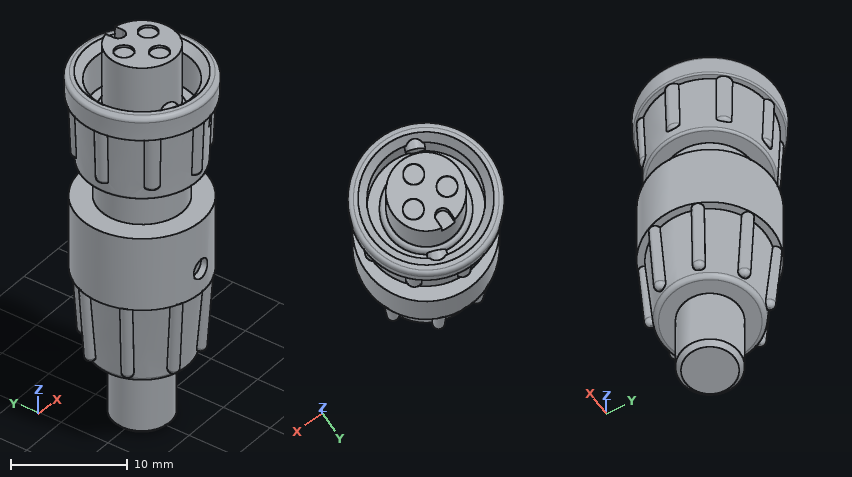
import cadquery as cq
import math


CABLE_CHAMFER = 0.48
GRIP_BOTTOM = 7.18
COLLAR_BOTTOM = 15.95
COLLAR_TOP = 23.65
NUT_BOTTOM = 27.48
RIM_BOTTOM = 34.4
RIM_TOP = 36.95
TOTAL_HEIGHT = 39.88

CABLE_RADIUS = 3.0
GRIP_BOTTOM_RADIUS = 4.9
GRIP_TOP_RADIUS = 5.62
COLLAR_RADIUS = 6.35
NECK_RADIUS = 4.25
NUT_BOTTOM_RADIUS = 5.82
NUT_TOP_RADIUS = 6.05
RIM_BOTTOM_RADIUS = 6.7
RIM_TOP_RADIUS = 6.78
INSERT_RADIUS = 3.45

GRIP_FILLET = 0.48
NUT_FILLET = 0.25
RIM_BOTTOM_FILLET = 0.15
RIM_TOP_FILLET = 0.48

BORE_RADIUS = 5.1
BORE_FLOOR = 32.5
BORE_MOUTH_RADIUS = 5.85
BORE_CHAMFER_DEPTH = 0.8
SHOULDER_RADIUS = 4.03
SHOULDER_HEIGHT = 0.6
SHOULDER_FILLET = 0.5

LUG_RADIUS = 0.88
LUG_TIP_DISTANCE = 4.55
LUG_ROOT_DISTANCE = 5.6
LUG_LEVEL = 35.65
LUG_ANGLE = 67.0

CONTACT_RADIUS = 0.9
CONTACT_PITCH_RADIUS = 1.87
CONTACT_ANGLES = (-90.0, 20.0, 160.0)
CONTACT_DEPTH = 0.25
KEYWAY_WIDTH = 1.35
KEYWAY_END_DISTANCE = 1.87
KEYWAY_DEPTH = 1.2

SIDE_HOLE_RADIUS = 1.0
SIDE_HOLE_LEVEL = 18.5
SIDE_HOLE_DEPTH = 0.75

RIB_COUNT = 8
RIB_SPACING = 360.0 / RIB_COUNT
NUT_RIB_RADIUS = 0.8
NUT_RIB_BOTTOM = 28.6
NUT_RIB_BOTTOM_CREST = 6.22
NUT_RIB_TOP_CREST = 6.45
NUT_RIB_FILLET = 0.35
GRIP_RIB_RADIUS = 0.55
GRIP_RIB_BOTTOM = 7.9
GRIP_RIB_BOTTOM_CREST = 5.75
GRIP_RIB_TOP_CREST = 6.3
GRIP_RIB_FILLET = 0.5


def turned_section(bottom, bottom_radius, top, top_radius):
    """Solid of revolution about Z with a straight, possibly tapered side."""
    return (
        cq.Workplane("XZ")
        .moveTo(0, bottom)
        .lineTo(bottom_radius, bottom)
        .lineTo(top_radius, top)
        .lineTo(0, top)
        .close()
        .revolve(360, (0, 0, 0), (0, 1, 0))
    )


def ribs(radius, bottom, bottom_crest, top, top_crest, end_fillet, first_angle):
    """Ring of leaning round bars with a rounded lower end and a flat top."""
    axis = cq.Vector(top_crest - bottom_crest, 0, top - bottom)
    start = cq.Vector(bottom_crest - radius, 0, bottom)
    bar_plane = cq.Plane(origin=start.toTuple(), xDir=(0, 1, 0), normal=axis.toTuple())
    bar = cq.Workplane(bar_plane).circle(radius).extrude(axis.Length + radius)
    bar = bar.faces("<Z").edges().fillet(end_fillet)
    bar = bar.intersect(turned_section(bottom - radius, RIM_TOP_RADIUS, top, RIM_TOP_RADIUS))
    ring = cq.Workplane("XY")
    for index in range(RIB_COUNT):
        ring = ring.add(bar.rotate((0, 0, 0), (0, 0, 1), first_angle + index * RIB_SPACING))
    return ring


def add_ribs(body, ring):
    for bar in ring.vals():
        body = body.union(cq.Workplane(bar))
    return body


def make_cable_end():
    cable = turned_section(0, CABLE_RADIUS, GRIP_BOTTOM, CABLE_RADIUS)
    return cable.faces("<Z").edges().chamfer(CABLE_CHAMFER)


def make_grip():
    grip = turned_section(GRIP_BOTTOM, GRIP_BOTTOM_RADIUS, COLLAR_BOTTOM, GRIP_TOP_RADIUS)
    grip = grip.faces("<Z").edges().fillet(GRIP_FILLET)
    grip_ribs = ribs(
        GRIP_RIB_RADIUS, GRIP_RIB_BOTTOM, GRIP_RIB_BOTTOM_CREST,
        COLLAR_BOTTOM, GRIP_RIB_TOP_CREST, GRIP_RIB_FILLET, RIB_SPACING / 2,
    )
    return add_ribs(grip, grip_ribs)


def make_collar():
    collar = turned_section(COLLAR_BOTTOM, COLLAR_RADIUS, COLLAR_TOP, COLLAR_RADIUS)
    side_hole = (
        cq.Workplane("XZ", origin=(0, -COLLAR_RADIUS + SIDE_HOLE_DEPTH, 0))
        .center(0, SIDE_HOLE_LEVEL)
        .circle(SIDE_HOLE_RADIUS)
        .extrude(COLLAR_RADIUS)
    )
    return collar.cut(side_hole)


def make_nut():
    nut = turned_section(NUT_BOTTOM, NUT_BOTTOM_RADIUS, RIM_BOTTOM, NUT_TOP_RADIUS)
    nut = nut.faces("<Z").edges().fillet(NUT_FILLET)
    nut_ribs = ribs(
        NUT_RIB_RADIUS, NUT_RIB_BOTTOM, NUT_RIB_BOTTOM_CREST,
        RIM_BOTTOM, NUT_RIB_TOP_CREST, NUT_RIB_FILLET, 0,
    )
    nut = add_ribs(nut, nut_ribs)
    rim = turned_section(RIM_BOTTOM, RIM_BOTTOM_RADIUS, RIM_TOP, RIM_TOP_RADIUS)
    rim = rim.faces(">Z").edges().fillet(RIM_TOP_FILLET)
    rim = rim.faces("<Z").edges().fillet(RIM_BOTTOM_FILLET)
    bore = turned_section(BORE_FLOOR, BORE_RADIUS, RIM_TOP, BORE_RADIUS)
    mouth = turned_section(RIM_TOP - BORE_CHAMFER_DEPTH, BORE_RADIUS, RIM_TOP, BORE_MOUTH_RADIUS)
    return nut.union(rim).cut(bore).cut(mouth)


def make_lug(angle):
    lug = (
        cq.Workplane("YZ", origin=(LUG_TIP_DISTANCE, 0, LUG_LEVEL))
        .circle(LUG_RADIUS)
        .extrude(LUG_ROOT_DISTANCE - LUG_TIP_DISTANCE)
    )
    return lug.rotate((0, 0, 0), (0, 0, 1), angle)


def make_insert():
    """Contact insert rising from a rounded shoulder on the bore floor."""
    shoulder_top = BORE_FLOOR + SHOULDER_HEIGHT
    shoulder = turned_section(BORE_FLOOR, SHOULDER_RADIUS, shoulder_top, SHOULDER_RADIUS)
    shoulder = shoulder.faces(">Z").edges().fillet(SHOULDER_FILLET)
    post = turned_section(BORE_FLOOR, INSERT_RADIUS, TOTAL_HEIGHT, INSERT_RADIUS)
    insert = shoulder.union(post)
    for angle in CONTACT_ANGLES:
        x = CONTACT_PITCH_RADIUS * math.cos(math.radians(angle))
        y = CONTACT_PITCH_RADIUS * math.sin(math.radians(angle))
        contact = (
            cq.Workplane("XY", origin=(x, y, TOTAL_HEIGHT - CONTACT_DEPTH))
            .circle(CONTACT_RADIUS)
            .extrude(CONTACT_DEPTH)
        )
        insert = insert.cut(contact)
    return insert.cut(make_keyway())


def make_keyway():
    half_width = KEYWAY_WIDTH / 2
    arc_center = KEYWAY_END_DISTANCE + half_width
    return (
        cq.Workplane("XY", origin=(0, 0, TOTAL_HEIGHT - KEYWAY_DEPTH))
        .moveTo(half_width, arc_center)
        .lineTo(half_width, BORE_RADIUS)
        .lineTo(-half_width, BORE_RADIUS)
        .lineTo(-half_width, arc_center)
        .threePointArc((0, KEYWAY_END_DISTANCE), (half_width, arc_center))
        .close()
        .extrude(KEYWAY_DEPTH)
    )


neck = turned_section(COLLAR_TOP, NECK_RADIUS, NUT_BOTTOM, NECK_RADIUS)

result = (
    make_cable_end()
    .union(make_grip())
    .union(make_collar())
    .union(neck)
    .union(make_nut())
    .union(make_lug(LUG_ANGLE))
    .union(make_lug(LUG_ANGLE + 180))
    .union(make_insert())
)